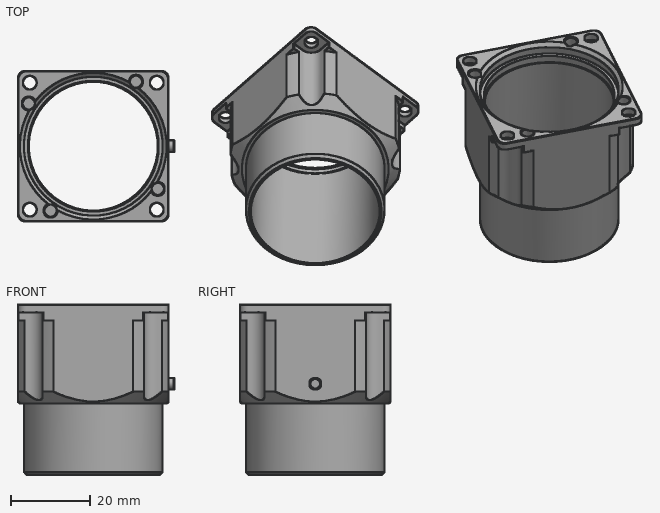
import cadquery as cq
import math

width = 38.0
top_z = 43.0
housing_bottom_z = 18.0
flange_thickness = 2.0
flange_corner_radius = 2.0
flange_edge_chamfer = 0.15
shoulder_height = 2.0
shoulder_radius = 22.75
body_radius = 21.5
bottom_chamfer = 3.0
bore_radius = 17.5
bore_chamfer = 1.0

flange_bottom_z = top_z - flange_thickness
shoulder_bottom_z = flange_bottom_z - shoulder_height

screw_offset = 16.0
screw_hole_diameter = 3.4
screw_head_radius = 3.25

blind_hole_diameter = 3.1
blind_hole_depth = 6.0
blind_hole_chamfer = 0.2
blind_hole_circle_radius = 19.5
blind_hole_first_angle = 56.5
blind_hole_count = 4

sleeve_height = 40.0
sleeve_inner_radius = 16.25
sleeve_bottom_chamfer = 0.8
sleeve_recess_radius = 16.5
sleeve_recess_depth = 2.0

pin_diameter = 3.0
pin_projection = 1.5
pin_z = 23.0
pin_chamfer = 0.25
pin_length = width / 2 - bore_radius + pin_projection


def cylinder(radius, bottom, top):
    return cq.Workplane("XY").workplane(offset=bottom).circle(radius).extrude(top - bottom)


def cone(bottom_radius, top_radius, bottom, top):
    """Solid with a straight taper between two radii about the Z axis."""
    return (
        cq.Workplane("XZ")
        .moveTo(0, bottom)
        .lineTo(bottom_radius, bottom)
        .lineTo(top_radius, top)
        .lineTo(0, top)
        .close()
        .revolve(360, (0, 0, 0), (0, 1, 0))
    )


def square(bottom, top):
    return cq.Workplane("XY").workplane(offset=bottom).rect(width, width).extrude(top - bottom)


def chamfered_hole(diameter, depth, chamfer):
    """Hole shape on the Z axis, down from the top face, with a chamfered mouth."""
    radius = diameter / 2
    shaft = cylinder(radius, top_z - depth, top_z)
    return shaft.union(cone(radius, radius + chamfer, top_z - chamfer, top_z))


def screw_head_recess():
    """Recess for the screw head at the +X +Y corner, open to both outer sides."""
    height = flange_bottom_z - housing_bottom_z
    inner = screw_offset - screw_head_radius
    outer = width
    arc_mid = screw_offset - screw_head_radius * math.sqrt(0.5)
    return (
        cq.Workplane("XY")
        .workplane(offset=housing_bottom_z)
        .moveTo(inner, screw_offset)
        .threePointArc((arc_mid, arc_mid), (screw_offset, inner))
        .lineTo(outer, inner)
        .lineTo(outer, outer)
        .lineTo(inner, outer)
        .close()
        .extrude(height)
    )


def make_housing():
    body = cylinder(body_radius, housing_bottom_z, shoulder_bottom_z)
    body = body.faces("<Z").chamfer(bottom_chamfer)
    body = body.union(cylinder(shoulder_radius, shoulder_bottom_z, flange_bottom_z))
    body = body.intersect(square(housing_bottom_z, flange_bottom_z))
    for corner in range(4):
        body = body.cut(screw_head_recess().rotate((0, 0, 0), (0, 0, 1), 90 * corner))

    flange = square(flange_bottom_z, top_z).edges("|Z").fillet(flange_corner_radius)
    flange = flange.faces(">Z").chamfer(flange_edge_chamfer)
    housing = body.union(flange)

    corner_hole = cylinder(screw_hole_diameter / 2, flange_bottom_z, top_z)
    for x in (-screw_offset, screw_offset):
        for y in (-screw_offset, screw_offset):
            housing = housing.cut(corner_hole.translate((x, y, 0)))

    housing = housing.cut(cylinder(bore_radius, housing_bottom_z, top_z))
    housing = housing.cut(cone(bore_radius, bore_radius + bore_chamfer, top_z - bore_chamfer, top_z))

    blind_hole = chamfered_hole(blind_hole_diameter, blind_hole_depth, blind_hole_chamfer)
    blind_hole = blind_hole.translate((blind_hole_circle_radius, 0, 0))
    for index in range(blind_hole_count):
        angle = blind_hole_first_angle + index * 360 / blind_hole_count
        housing = housing.cut(blind_hole.rotate((0, 0, 0), (0, 0, 1), angle))

    return housing.cut(pin_blank())


def make_sleeve():
    sleeve = cylinder(bore_radius, 0, sleeve_height).faces("<Z").chamfer(sleeve_bottom_chamfer)
    sleeve = sleeve.cut(cylinder(sleeve_inner_radius, 0, sleeve_height))
    recess = cylinder(sleeve_recess_radius, sleeve_height - sleeve_recess_depth, sleeve_height)
    return sleeve.cut(recess)


def pin_blank():
    return (
        cq.Workplane("YZ")
        .workplane(offset=bore_radius)
        .center(0, pin_z)
        .circle(pin_diameter / 2)
        .extrude(pin_length)
    )


def make_pin():
    return pin_blank().faces(">X").chamfer(pin_chamfer)


housing = make_housing()
sleeve = make_sleeve()
pin = make_pin()

result = cq.Compound.makeCompound([housing.val(), sleeve.val(), pin.val()])